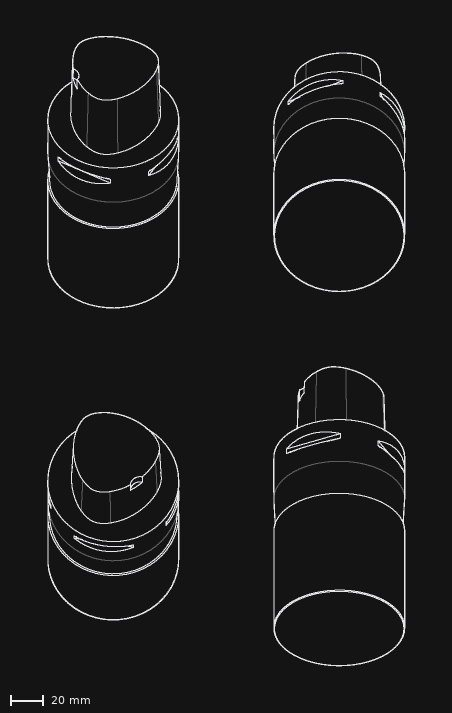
import cadquery as cq
import math

total_height = 176
body_diameter = 80.0
body_radius = body_diameter / 2

base_height = 72.9
bottom_chamfer = 0.5

neck_bottom_diameter = 77.8
flange_bottom = 96.8
shank_length = 48.0
flange_top = total_height - shank_length

shank_bottom_width = 55.0
shank_taper = 1 / 20
shank_top_width = shank_bottom_width - shank_taper * shank_length
lobe_offset = 2.0
lobe_count = 3
lobe_half_span = 33
samples_per_arc = 6

groove_count = 4
groove_height = 115.8
groove_floor_distance = 35.5
groove_floor_width = 3.3
groove_wall_angle = 30

notch_radius = 6.0
notch_depth = 8.3
notch_inner_y = -22.0


def shank_point(width, normal_angle):
    """Point of the polygon curve whose outward normal has the given angle in degrees."""
    angle = math.radians(normal_angle)
    from_lobe = lobe_count * (angle - math.pi / 2)
    reach = width / 2 + lobe_offset * math.cos(from_lobe)
    slide = -lobe_count * lobe_offset * math.sin(from_lobe)
    return cq.Vector(
        reach * math.cos(angle) - slide * math.sin(angle),
        reach * math.sin(angle) + slide * math.cos(angle),
    )


def shank_arc(width, height, start, end):
    """Part of the polygon curve between two normal angles."""
    step = (end - start) / samples_per_arc
    lift = cq.Vector(0, 0, height)
    points = [shank_point(width, start + i * step) + lift for i in range(samples_per_arc + 1)]
    tangents = [
        cq.Vector(-math.sin(math.radians(angle)), math.cos(math.radians(angle)), 0)
        for angle in (start, end)
    ]
    return cq.Edge.makeSpline(points, tangents=tangents)


def shank_outline(width, height):
    """Closed polygon curve, alternating lobe arcs and flank arcs."""
    pitch = 360 / lobe_count
    arcs = []
    for i in range(lobe_count):
        lobe_start = 90 + i * pitch - lobe_half_span
        lobe_end = lobe_start + 2 * lobe_half_span
        arcs.append(shank_arc(width, height, lobe_start, lobe_end))
        arcs.append(shank_arc(width, height, lobe_end, lobe_start + pitch))
    return cq.Wire.assembleEdges(arcs)


def make_shank():
    """Tapered polygon shank with its orientation notch."""
    outlines = [
        shank_outline(shank_bottom_width, flange_top),
        shank_outline(shank_top_width, total_height),
    ]
    shank = cq.Workplane(cq.Solid.makeLoft(outlines, True))
    notch = (
        cq.Workplane("XY", origin=(0, notch_inner_y - notch_radius, total_height))
        .circle(notch_radius)
        .extrude(-notch_depth)
    )
    return shank.cut(notch)


def make_groove(angle):
    """Cutter for one straight groove with a flat floor and flared walls."""
    cutter_depth = body_radius - groove_floor_distance
    floor_half = groove_floor_width / 2
    mouth_half = floor_half + cutter_depth * math.tan(math.radians(groove_wall_angle))
    return (
        cq.Workplane("XZ")
        .polyline([
            (groove_floor_distance, groove_height - floor_half),
            (body_radius, groove_height - mouth_half),
            (body_radius, groove_height + mouth_half),
            (groove_floor_distance, groove_height + floor_half),
        ])
        .close()
        .extrude(body_radius, both=True)
        .rotate((0, 0, 0), (0, 0, 1), angle)
    )


def make_holder():
    """Neck, grooved flange and shank in one body."""
    holder = (
        cq.Workplane("XZ")
        .polyline([
            (0, base_height),
            (neck_bottom_diameter / 2, base_height),
            (body_radius, flange_bottom),
            (body_radius, flange_top),
            (0, flange_top),
        ])
        .close()
        .revolve(360, (0, 0, 0), (0, 1, 0))
    )
    groove_pitch = 360 / groove_count
    for i in range(groove_count):
        holder = holder.cut(make_groove((i + 0.5) * groove_pitch))
    return holder.union(make_shank())


def make_base():
    """Plain cylinder with a small chamfer around its bottom edge."""
    return (
        cq.Workplane("XY")
        .circle(body_radius)
        .extrude(base_height)
        .faces("<Z")
        .chamfer(bottom_chamfer)
    )


base = make_base()
holder = make_holder()
result = cq.Compound.makeCompound([base.val(), holder.solids().val()])